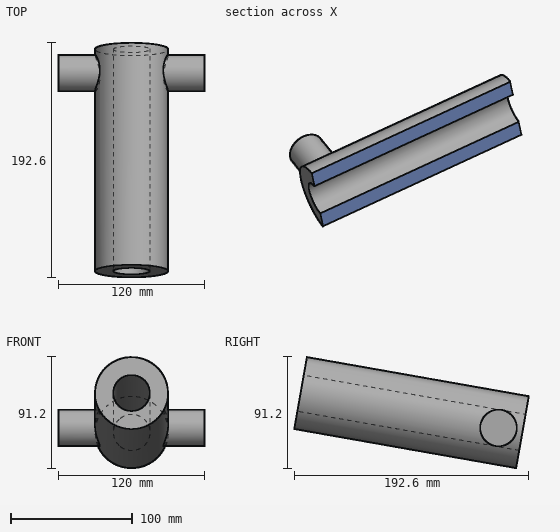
import cadquery as cq
import math

overall_length = 192.6
tube_diameter = 60.0
bore_diameter = tube_diameter / 2
pin_diameter = 30.0
pin_span = 120.0
pin_from_rear = 20.0
tilt_degrees = 10.0

tilt = math.radians(tilt_degrees)
tube_length = (overall_length - tube_diameter * math.sin(tilt)) / math.cos(tilt)

forward = cq.Vector(0, -math.cos(tilt), math.sin(tilt))
rear_plane = cq.Plane(origin=(forward * -pin_from_rear).toTuple(), xDir=(1, 0, 0), normal=forward.toTuple())


def rod_along_tube(diameter):
    """Solid rod running the full tube length, from the rear face forward."""
    return cq.Workplane(rear_plane).circle(diameter / 2).extrude(tube_length)


pins = cq.Workplane("YZ").circle(pin_diameter / 2).extrude(pin_span / 2, both=True)

result = rod_along_tube(tube_diameter).union(pins).cut(rod_along_tube(bore_diameter))